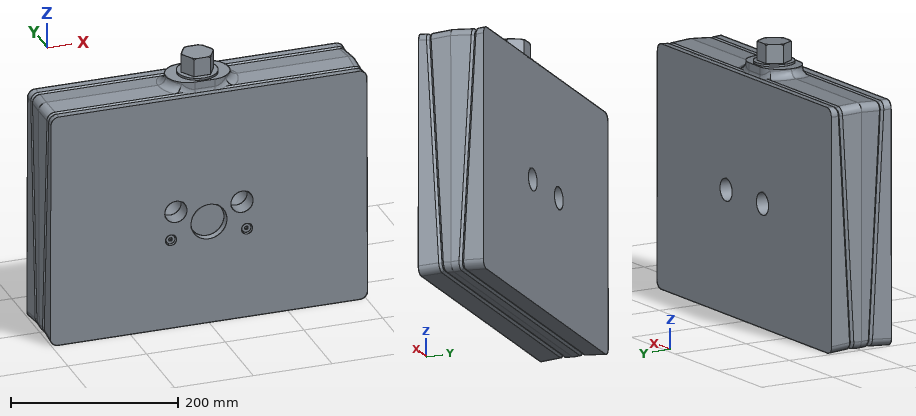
import cadquery as cq
import math


slide_width = 400.0
slide_height = 300.0
stack_thickness = 83.93
half_stack = stack_thickness / 2
thick_end = 29.4
thin_end = half_stack - thick_end
slide_slope = (thick_end - thin_end) / slide_height
slide_tilt = math.atan(slide_slope)
draft_angle = math.radians(3.3)
draft = math.tan(draft_angle)
corner_radius = 10.0
rim_chamfer = 3.0

through_diameter = 28.0
through_spacing = 84.0
through_z = slide_height / 2 + 1.5

pocket_diameter = 45.5
pocket_floor_diameter = 43.5
pocket_depth = 8.0
pocket_z = slide_height / 2 - 18.0

seat_diameter = 14.0
seat_floor_diameter = 11.5
seat_depth = 2.0
seat_spacing = 96.5
seat_z = slide_height / 2 - 35.0
seat_pilot_diameter = 4.5
seat_pilot_depth = 3.0

hex_top_z = 338.32
hex_height = 23.6
hex_flats = 36.2
hex_chamfer = 1.5
collar_diameter = 50.2
collar_height = 2.5
boss_width = 80.0
boss_depth = 55.0
boss_height = 11.0
boss_fillet = 10.0

collar_top_z = hex_top_z - hex_height
boss_top_z = collar_top_z - collar_height


def outline(top_y, bottom_y, top_growth, bottom_growth):
    """Four-sided wire, its sides pushed out at the top and at the bottom by the given growths."""
    half = slide_width / 2
    points = [
        (-half - bottom_growth, bottom_y, -bottom_growth),
        (half + bottom_growth, bottom_y, -bottom_growth),
        (half + top_growth, top_y, slide_height + top_growth),
        (-half - top_growth, top_y, slide_height + top_growth),
    ]
    return cq.Wire.makePolygon([cq.Vector(*p) for p in points], close=True)


def drafted_wedge(flat_y):
    """Wedge from the front sliding face to the plane Y = flat_y, widening away from the sliding face."""
    slide_face = outline(-thick_end, -thin_end, 0, 0)
    top_growth = draft * abs(flat_y + thick_end)
    bottom_growth = draft * abs(flat_y + thin_end)
    flat_face = outline(flat_y, flat_y, top_growth, bottom_growth)
    wedge = cq.Workplane(cq.Solid.makeLoft([slide_face, flat_face], True))

    mid_z = slide_height / 2
    corners = wedge.edges("not |X").filter(lambda edge: abs(edge.Center().z - mid_z) > mid_z / 2)
    wedge = corners.fillet(corner_radius)
    slide_centre = (0, -(thick_end + thin_end) / 2, mid_z)
    return wedge.faces(cq.selectors.NearestToPointSelector(slide_centre)).chamfer(rim_chamfer)


def through_holes():
    """Two cylinders along Y that pass through the whole stack."""
    return (
        cq.Workplane("XZ", origin=(0, half_stack, through_z))
        .pushPoints([(-through_spacing / 2, 0), (through_spacing / 2, 0)])
        .circle(through_diameter / 2)
        .extrude(stack_thickness)
    )


def tapered_recess(x, z, mouth_diameter, floor_diameter, depth):
    """Tapered round cutter that sinks into the front face."""
    return (
        cq.Workplane("XZ", origin=(x, -half_stack, z))
        .circle(mouth_diameter / 2)
        .workplane(offset=-depth)
        .circle(floor_diameter / 2)
        .loft(ruled=True)
    )


def outer_wedge():
    """Plain outer wedge on the front side."""
    return drafted_wedge(-half_stack).cut(through_holes())


def front_wedge():
    """Outer wedge with the round pocket and the two screw seats in its outer face."""
    wedge = outer_wedge().cut(tapered_recess(0, pocket_z, pocket_diameter, pocket_floor_diameter, pocket_depth))
    for x in (-seat_spacing / 2, seat_spacing / 2):
        seat = tapered_recess(x, seat_z, seat_diameter, seat_floor_diameter, seat_depth)
        pilot_total = seat_depth + seat_pilot_depth
        pilot = tapered_recess(x, seat_z, seat_pilot_diameter, seat_pilot_diameter, pilot_total)
        wedge = wedge.cut(seat).cut(pilot)
    return wedge


def roof():
    """Ridge with the top slopes and rim chamfers of the centre wedge, the chamfers carried on downwards."""
    ridge_z = slide_height + draft * thick_end
    rim_y = thick_end - rim_chamfer * math.cos(draft_angle)
    rim_z = slide_height + rim_chamfer * math.sin(draft_angle)
    lip_y = thick_end - rim_chamfer * math.sin(slide_tilt)
    lip_z = slide_height - rim_chamfer * math.cos(slide_tilt)
    floor_z = slide_height - 2 * boss_fillet
    foot_y = rim_y + (lip_y - rim_y) * (rim_z - floor_z) / (rim_z - lip_z)
    section = [(-foot_y, floor_z), (foot_y, floor_z), (rim_y, rim_z), (0, ridge_z), (-rim_y, rim_z)]
    return cq.Workplane("YZ").polyline(section).close().extrude(boss_width, both=True)


def slide_gap():
    """Right half of the space between the sliding planes, continued upwards past the boss."""
    top_half = thin_end + slide_slope * hex_top_z
    section = [(-thin_end, 0), (thin_end, 0), (top_half, hex_top_z), (-top_half, hex_top_z)]
    return cq.Workplane("YZ").polyline(section).close().extrude(boss_width)


def boss():
    """Slot-shaped boss with a fillet at its foot, trimmed where the fillet would pass the sliding planes."""
    base = roof()
    root_z = slide_height - boss_fillet
    post = cq.Workplane("XY", origin=(0, 0, root_z)).slot2D(boss_width, boss_depth).extrude(boss_top_z - root_z)
    foot_box = cq.selectors.BoxSelector(
        (-boss_width, -boss_depth, root_z),
        (boss_width, boss_depth, boss_top_z - boss_height / 2),
        boundingbox=True,
    )
    right_half = base.union(post).edges(foot_box).fillet(boss_fillet).cut(base).intersect(slide_gap())
    return right_half.union(right_half.mirror("YZ"))


def drive():
    """Round collar with a hexagon, its corners along X, bevelled round at the top."""
    collar = cq.Workplane("XY", origin=(0, 0, boss_top_z)).circle(collar_diameter / 2).extrude(collar_height)
    hex_corners = hex_flats / math.cos(math.pi / 6)
    hexagon = cq.Workplane("XY", origin=(0, 0, collar_top_z)).polygon(6, hex_corners).extrude(hex_height)
    bevel = (
        cq.Workplane("XY", origin=(0, 0, collar_top_z))
        .circle(hex_corners / 2)
        .extrude(hex_height)
        .faces(">Z")
        .chamfer(hex_chamfer)
    )
    return collar.union(hexagon.intersect(bevel))


def centre_wedge():
    """Centre wedge in two mirrored halves, with the boss and the drive on top."""
    front_half = drafted_wedge(0)
    wedge = front_half.union(front_half.mirror("XZ")).cut(through_holes())
    return wedge.union(boss()).union(drive())


front = front_wedge()
centre = centre_wedge()
back = outer_wedge().mirror("XZ")

result = cq.Compound.makeCompound([*front.solids().vals(), *centre.solids().vals(), *back.solids().vals()])